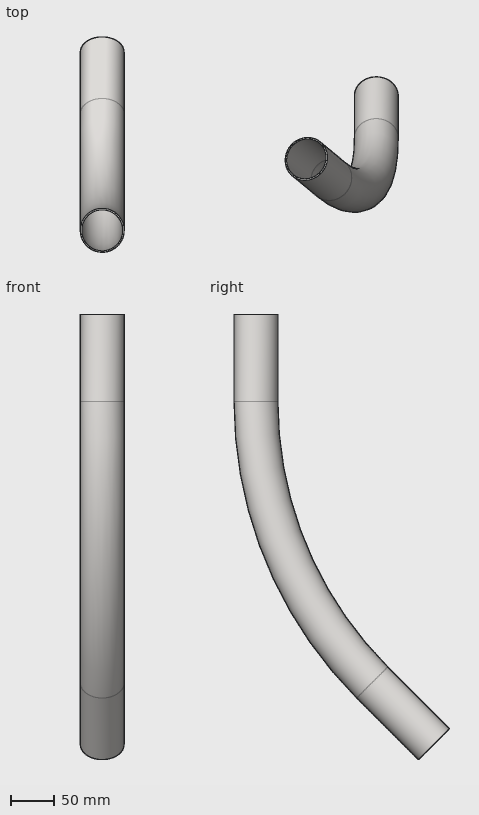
import cadquery as cq
import math

total_height = 514.5
outer_diameter = 51.0
inner_diameter = 47.5
leg_length = 101.0
bend_angle = 45.0

sin_bend = math.sin(math.radians(bend_angle))
cos_bend = math.cos(math.radians(bend_angle))
end_face_drop = outer_diameter / 2 * sin_bend
legs_height = leg_length * (1 + cos_bend)
bend_radius = (total_height - legs_height - end_face_drop) / sin_bend


def bend_point(angle):
    """Centreline point (Y, Z) after turning by an angle from the upright leg."""
    turn = math.radians(angle)
    y = bend_radius * (1 - math.cos(turn))
    z = -leg_length - bend_radius * math.sin(turn)
    return y, z


bend_start = bend_point(0)
bend_middle = bend_point(bend_angle / 2)
bend_end = bend_point(bend_angle)
lower_end = (
    bend_end[0] + leg_length * sin_bend,
    bend_end[1] - leg_length * cos_bend,
)
centreline = (
    cq.Workplane("YZ")
    .moveTo(0, 0)
    .lineTo(*bend_start)
    .threePointArc(bend_middle, bend_end)
    .lineTo(*lower_end)
)

result = (
    cq.Workplane("XY")
    .circle(outer_diameter / 2)
    .circle(inner_diameter / 2)
    .sweep(centreline)
)